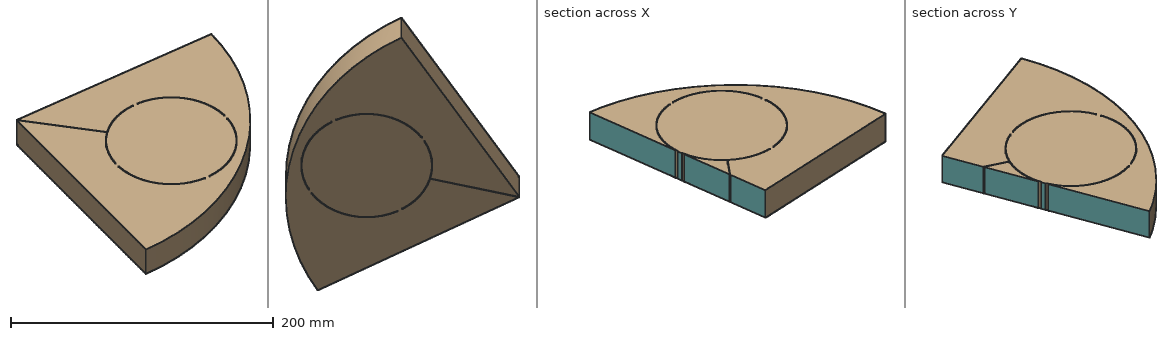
import cadquery as cq
import math

plate_radius = 178.0
plate_thickness = 25.0

ring_center = 85.0
ring_outer_radius = 50.0
cut_width = 0.5

bridge_width = 4.0

disc_radius = ring_outer_radius - cut_width


def make_plate():
    arc_middle = plate_radius * math.sqrt(0.5)
    return (
        cq.Workplane("XY")
        .lineTo(plate_radius, 0)
        .threePointArc((arc_middle, arc_middle), (0, plate_radius))
        .close()
        .extrude(plate_thickness)
    )


def make_ring_cut():
    center_plane = cq.Workplane("XY").center(ring_center, ring_center)
    ring = center_plane.circle(ring_outer_radius).circle(disc_radius).extrude(plate_thickness)
    bridge_length = 2 * ring_outer_radius + cut_width
    for length_x, length_y in ((bridge_length, bridge_width), (bridge_width, bridge_length)):
        bridge = center_plane.rect(length_x, length_y).extrude(plate_thickness)
        ring = ring.cut(bridge)
    return ring


def make_lead_in_cut():
    lead_in_length = ring_center * math.sqrt(2) - (disc_radius + cut_width / 2)
    return (
        cq.Workplane("XY")
        .rect(2 * lead_in_length, cut_width)
        .extrude(plate_thickness)
        .rotate((0, 0, 0), (0, 0, 1), 45)
    )


result = make_plate().cut(make_ring_cut()).cut(make_lead_in_cut())